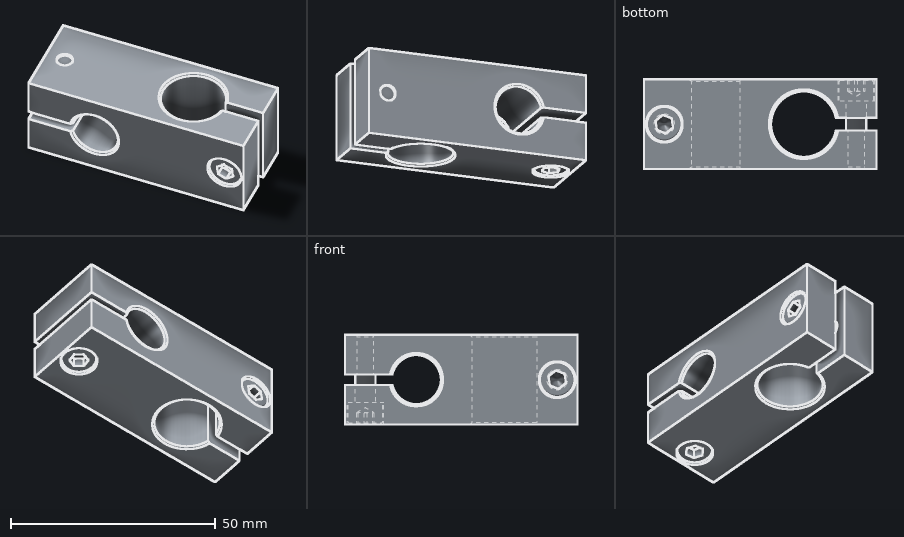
import cadquery as cq
import math

length = 57.0
side = 22.0
half_side = side / 2

small_bore_diameter = 12.0
small_bore_x = 17.5
small_slot_width = 2.5

large_bore_diameter = 16.0
large_bore_x = 39.15
large_slot_width = 3.0

bore_chamfer = 0.5

screw_inset = 5.0
small_screw_x = screw_inset
large_screw_x = length - screw_inset
shank_diameter = 5.0
thread_core_diameter = 4.0
head_diameter = 8.5
head_height = 5.0
head_fillet = 0.5
head_recess = 0.35
tip_recess = 0.55
counterbore_diameter = 9.0

socket_flats = 4.0
socket_corner_diameter = socket_flats / math.cos(math.pi / 6)
socket_depth = 2.5
socket_cone_depth = 1.3
socket_turn = 21.0

head_face = -half_side + head_recess
head_seat = head_face + head_height
tip_face = half_side - tip_recess


def cylinder(diameter, bottom, top):
    """Upright cylinder on the local Z axis."""
    return cq.Workplane("XY").workplane(offset=bottom).circle(diameter / 2).extrude(top - bottom)


def clamp_placed(shape, x, along_y):
    """Move a shape to station x, laying its +Z axis along +Y if asked."""
    if along_y:
        shape = shape.rotate((0, 0, 0), (1, 0, 0), -90)
    return shape.translate((x, 0, 0))


def chamfered_bore(diameter):
    """Cutter for a through bore with a chamfer at both mouths."""
    radius = diameter / 2
    mouth_radius = radius + bore_chamfer
    straight_end = half_side - bore_chamfer
    profile = (
        cq.Workplane("XZ")
        .moveTo(0, -half_side)
        .lineTo(mouth_radius, -half_side)
        .lineTo(radius, -straight_end)
        .lineTo(radius, straight_end)
        .lineTo(mouth_radius, half_side)
        .lineTo(0, half_side)
        .close()
    )
    return profile.revolve(360, (0, 0, 0), (0, 1, 0))


def screw_hole(slot_width):
    """Cutter for a counterbored hole that narrows to the thread core beyond the slot."""
    counterbore = cylinder(counterbore_diameter, -half_side, head_seat)
    clearance = cylinder(shank_diameter, head_seat, slot_width / 2)
    thread = cylinder(thread_core_diameter, slot_width / 2, half_side)
    return counterbore.union(clearance).union(thread)


def hex_socket():
    """Cutter for the socket: a hexagon cut off by a cone at its inner end."""
    cone_start = head_face + socket_depth
    hexagon = (
        cq.Workplane("XY")
        .workplane(offset=head_face)
        .polygon(6, socket_corner_diameter)
        .extrude(socket_depth + socket_cone_depth)
    )
    envelope = (
        cq.Workplane("XZ")
        .moveTo(0, head_face)
        .lineTo(socket_corner_diameter, head_face)
        .lineTo(socket_corner_diameter, cone_start)
        .lineTo(socket_corner_diameter / 2, cone_start)
        .lineTo(0, cone_start + socket_cone_depth)
        .close()
        .revolve(360, (0, 0, 0), (0, 1, 0))
    )
    return hexagon.intersect(envelope).rotate((0, 0, 0), (0, 0, 1), socket_turn)


def make_screw(slot_width):
    """Socket head screw, full shank through the slot and thread core up to the tip."""
    head = cylinder(head_diameter, head_face, head_seat).faces("<Z").edges().fillet(head_fillet)
    shank = cylinder(shank_diameter, head_seat, slot_width / 2)
    thread = cylinder(thread_core_diameter, slot_width / 2, tip_face)
    return head.union(shank).union(thread).cut(hex_socket())


def make_block():
    """Clamp block with two crossed split bores and their screw holes."""
    block = cq.Workplane("XY").box(length, side, side, centered=(False, True, True))
    small_slot = cq.Workplane("XY").box(small_bore_x, side, small_slot_width, centered=(False, True, True))
    large_slot = (
        cq.Workplane("XY")
        .box(length - large_bore_x, large_slot_width, side, centered=(False, True, True))
        .translate((large_bore_x, 0, 0))
    )
    block = block.cut(small_slot).cut(large_slot)
    block = block.cut(clamp_placed(chamfered_bore(small_bore_diameter), small_bore_x, True))
    block = block.cut(clamp_placed(chamfered_bore(large_bore_diameter), large_bore_x, False))
    for slot_width, screw_x, along_y in screw_places:
        block = block.cut(clamp_placed(screw_hole(slot_width), screw_x, along_y))
    return block


screw_places = [
    (small_slot_width, small_screw_x, False),
    (large_slot_width, large_screw_x, True),
]

block = make_block()
screws = []
for slot_width, screw_x, along_y in screw_places:
    screw = clamp_placed(make_screw(slot_width), screw_x, along_y)
    screws.append(screw.val())

result = cq.Compound.makeCompound([block.val(), *screws])